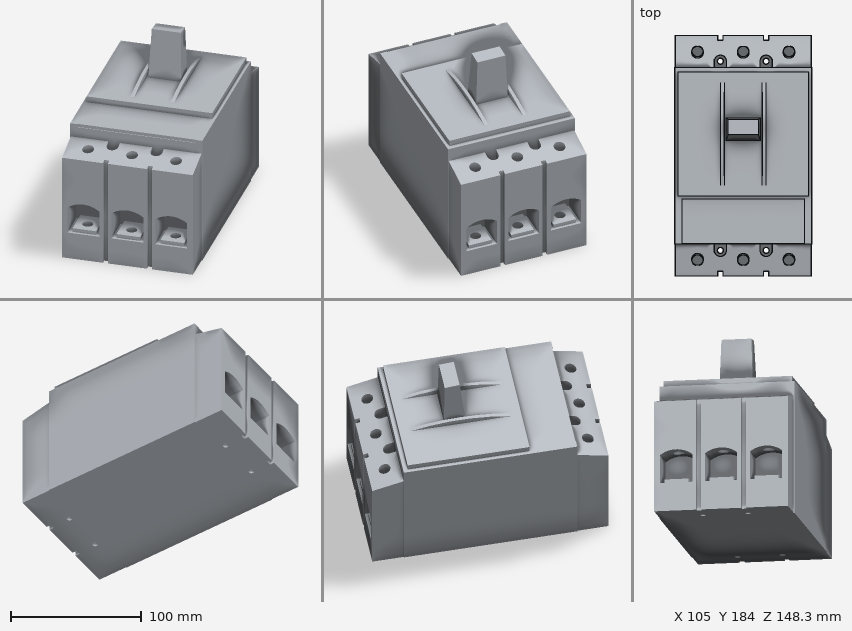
import cadquery as cq

total_length = 184.0
total_height = 148.3

case_width = 105.0
case_length = 135.0
case_height = 103.5

pole_pitch = 35.0
block_side_step = 0.5
block_inner_height = 92.2
block_ledge = 0.5
block_outer_height = 86.1
slot_width = 3.9
slot_depth = 3.7

screw_diameter = 9.0
screw_inset = 12.9
screw_floor = 11.0

pocket_width = 25.2
pocket_floor = 22.0
pocket_side_height = 21.7
pocket_crown_height = 26.0
tongue_width = 18.8
tongue_thickness = 3.1
tongue_setback = 2.2
tongue_hole_diameter = 8.5
tongue_hole_inset = 12.0

mount_recess_width = 9.2
mount_hole_diameter = 4.5
mount_hole_from_case = 4.8

cover_width = 100.0
cover_length = 95.0
cover_back_inset = 3.5
cover_thickness = 5.0

rib_outer_x = 17.5
rib_base_thickness = 3.1
rib_crest_thickness = 2.5
rib_length = 78.0
rib_rise = 4.8

label_width = 93.7
label_length = 33.9
label_setback = 0.5
label_thickness = 2.5

handle_base_width = 26.1
handle_top_width = 23.2
handle_base_front_y = 11.8
handle_base_back_y = 28.7
handle_top_front_y = 16.2
handle_top_back_y = 27.8
handle_back_drop = 1.0

half_length = total_length / 2
case_half_length = case_length / 2
block_depth = half_length - case_half_length
block_width = case_width - 2 * block_side_step
pole_xs = (-pole_pitch, 0, pole_pitch)
gap_xs = (-pole_pitch / 2, pole_pitch / 2)
cover_top = case_height + cover_thickness
cover_center_y = case_half_length - cover_back_inset - cover_length / 2


def box(width, length, height, x, y, z):
    """Box centred on x, starting at y and z."""
    return cq.Workplane("XY").box(width, length, height, centered=(True, False, False)).translate((x, y, z))


def rod(diameter, x, y, z_bottom, z_top):
    """Vertical cylinder."""
    return cq.Workplane("XY", origin=(x, y, z_bottom)).circle(diameter / 2).extrude(z_top - z_bottom)


def make_sloped_block():
    return (
        cq.Workplane("YZ", origin=(-block_width / 2, 0, 0))
        .moveTo(-half_length, 0)
        .lineTo(-case_half_length, 0)
        .lineTo(-case_half_length, block_inner_height)
        .lineTo(-case_half_length - block_ledge, block_inner_height)
        .lineTo(-half_length, block_outer_height)
        .close()
        .extrude(block_width)
    )


def make_wire_pocket(x):
    """Arched opening running from the end of the block to the case."""
    half = pocket_width / 2
    return (
        cq.Workplane("XZ", origin=(x, -half_length, pocket_floor))
        .moveTo(-half, 0)
        .lineTo(half, 0)
        .lineTo(half, pocket_side_height)
        .threePointArc((0, pocket_crown_height), (-half, pocket_side_height))
        .close()
        .extrude(-block_depth)
    )


def make_tongue(x):
    tongue = box(
        tongue_width, block_depth - tongue_setback, tongue_thickness,
        x, -half_length + tongue_setback, pocket_floor,
    )
    hole_y = -half_length + tongue_hole_inset
    return tongue.cut(rod(tongue_hole_diameter, x, hole_y, pocket_floor, pocket_floor + tongue_thickness))


def make_mount_recess(x):
    """Round-ended recess beside the case, with a through hole in its floor."""
    hole_y = -case_half_length - mount_hole_from_case
    recess = box(
        mount_recess_width, mount_hole_from_case, block_inner_height - pocket_floor,
        x, hole_y, pocket_floor,
    )
    recess = recess.union(rod(mount_recess_width, x, hole_y, pocket_floor, block_inner_height))
    return recess.union(rod(mount_hole_diameter, x, hole_y, 0, pocket_floor))


def make_terminal_block():
    block = make_sloped_block()
    for x in gap_xs:
        block = block.cut(box(slot_width, slot_depth, block_inner_height, x, -half_length, 0))
        block = block.cut(make_mount_recess(x))
    for x in pole_xs:
        block = block.cut(make_wire_pocket(x))
        block = block.cut(rod(screw_diameter, x, -half_length + screw_inset, screw_floor, block_inner_height))
        block = block.union(make_tongue(x))
    return block


def make_label_recess():
    """Shallow recess in the case top, open at the -Y face."""
    return box(
        label_width, label_length + label_setback, label_thickness,
        0, -case_half_length, case_height - label_thickness,
    )


def make_housing():
    case = box(case_width, case_length, case_height, 0, -case_half_length, 0)
    case = case.cut(make_label_recess())
    front_block = make_terminal_block()
    back_block = front_block.mirror("XZ")
    return case.union(front_block).union(back_block)


def make_label():
    return box(
        label_width, label_length, label_thickness,
        0, -case_half_length + label_setback, case_height - label_thickness,
    )


def make_rib():
    """Rib on the -X side: arched lengthwise, with a leaning inner face."""
    half = rib_length / 2
    arch = (
        cq.Workplane("YZ", origin=(-rib_outer_x, cover_center_y, cover_top))
        .moveTo(-half, 0)
        .threePointArc((0, rib_rise), (half, 0))
        .close()
        .extrude(rib_base_thickness)
    )
    section = (
        cq.Workplane("XZ", origin=(-rib_outer_x, cover_center_y + half, cover_top))
        .moveTo(0, 0)
        .lineTo(rib_base_thickness, 0)
        .lineTo(rib_crest_thickness, rib_rise)
        .lineTo(0, rib_rise)
        .close()
        .extrude(rib_length)
    )
    return arch.intersect(section)


def make_cover():
    plate = box(
        cover_width, cover_length, cover_thickness,
        0, cover_center_y - cover_length / 2, case_height,
    )
    rib = make_rib()
    return plate.union(rib).union(rib.mirror("YZ"))


def make_handle():
    side = (
        cq.Workplane("YZ", origin=(-handle_base_width / 2, 0, 0))
        .moveTo(handle_base_front_y, cover_top)
        .lineTo(handle_base_back_y, cover_top)
        .lineTo(handle_top_back_y, total_height - handle_back_drop)
        .lineTo(handle_top_front_y, total_height)
        .close()
        .extrude(handle_base_width)
    )
    front = (
        cq.Workplane("XZ", origin=(0, handle_base_back_y, 0))
        .moveTo(-handle_base_width / 2, cover_top)
        .lineTo(handle_base_width / 2, cover_top)
        .lineTo(handle_top_width / 2, total_height)
        .lineTo(-handle_top_width / 2, total_height)
        .close()
        .extrude(handle_base_back_y - handle_base_front_y)
    )
    return side.intersect(front)


housing = make_housing()
label = make_label()
cover = make_cover()
handle = make_handle()

result = cq.Compound.makeCompound([housing.val(), label.val(), cover.val(), handle.val()])